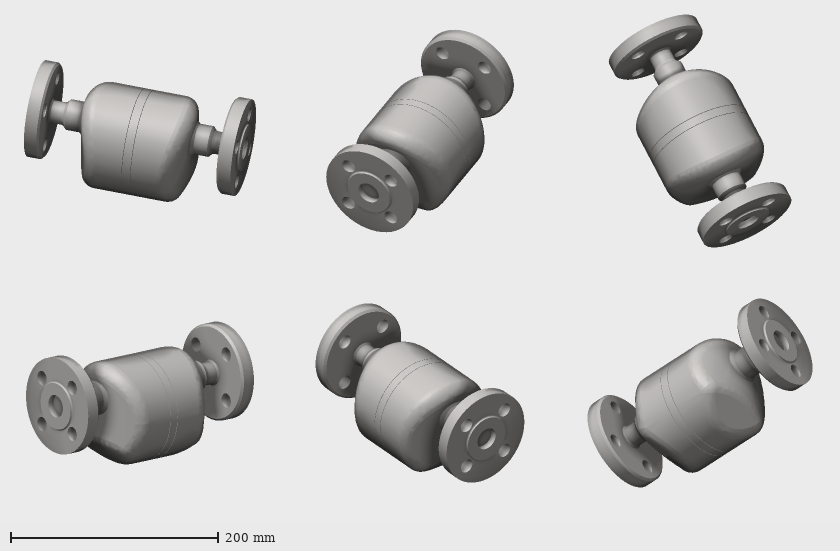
import cadquery as cq
import math

half_length = 105.0

body_diameter = 104.0
body_drop = 19.0
body_half_length = 55.6
end_curve_radius = 88.2
body_fillet = 14.0
bevel_bottom_half = 28.8

groove_diameter = 100.0
groove_offset = 4.5
groove_width = 0.5

flange_diameter = 95.0
flange_back = 88.6
flange_chamfer = 2.0
raised_height = 1.9
raised_radius = 22.9
raised_fillet = 1.7
bore_diameter = 22.3
bore_depth = 6.5
bolt_diameter = 14.0
bolt_circle_radius = 32.5
bolt_count = 4
bolt_start_angle = 45

pipe_radius = 22.0 / 2
neck_radius = 30.0 / 2
flange_weld = 1.7
reducer_weld_end = 76.2
reducer_small_end = 74.1
reducer_small_radius = 11.8
reducer_large_end = 71.0
body_weld_end = 57.3
body_weld_radius = 18.3
stub_inner_end = 42.0

clearance = 2.0

body_radius = body_diameter / 2
body_bottom = -body_drop - body_radius
flange_radius = flange_diameter / 2
flange_face = half_length - raised_height


def x_cylinder(diameter, start, length, z=0.0):
    plane = cq.Workplane("YZ", origin=(start, 0, z))
    return plane.circle(diameter / 2).extrude(length)


def make_body():
    """Horizontal cylinder with bulged ends and bevelled bottom corners."""
    body = x_cylinder(body_diameter, -body_half_length, 2 * body_half_length, -body_drop)

    side = body_radius + clearance
    bulge = end_curve_radius - math.sqrt(end_curve_radius**2 - side**2)
    corner = body_half_length - bulge
    plan = (
        cq.Workplane("XY", origin=(0, 0, body_bottom - clearance))
        .moveTo(-corner, -side)
        .lineTo(corner, -side)
        .threePointArc((body_half_length, 0), (corner, side))
        .lineTo(-corner, side)
        .threePointArc((-body_half_length, 0), (-corner, -side))
        .close()
        .extrude(body_diameter + 2 * clearance)
    )

    reach = body_half_length + clearance
    bevel_top = body_bottom + reach - bevel_bottom_half
    top = body_radius - body_drop + clearance
    bevelled = (
        cq.Workplane("XZ")
        .polyline([
            (-reach, top),
            (-reach, bevel_top),
            (-bevel_bottom_half + clearance, body_bottom - clearance),
            (bevel_bottom_half - clearance, body_bottom - clearance),
            (reach, bevel_top),
            (reach, top),
        ])
        .close()
        .extrude(side, both=True)
    )
    return body.intersect(plan).intersect(bevelled).edges().fillet(body_fillet)


def make_groove(center):
    start = center - groove_width / 2
    outer = x_cylinder(body_diameter + 2 * clearance, start, groove_width, -body_drop)
    inner = x_cylinder(groove_diameter, start, groove_width, -body_drop)
    return outer.cut(inner)


def make_connection():
    """Turned pipe stub with its flange, on the +X side."""
    body_weld_start = body_weld_end - (body_weld_radius - neck_radius)
    turned = (
        cq.Workplane("XY")
        .polyline([
            (stub_inner_end, 0),
            (stub_inner_end, neck_radius),
            (body_weld_start, neck_radius),
            (body_weld_start, body_weld_radius),
            (body_weld_end, neck_radius),
            (reducer_large_end, neck_radius),
            (reducer_small_end, reducer_small_radius),
            (reducer_weld_end, pipe_radius),
            (flange_back - flange_weld, pipe_radius),
            (flange_back, pipe_radius + flange_weld),
            (flange_back, flange_radius - flange_chamfer),
            (flange_back + flange_chamfer, flange_radius),
            (flange_face, flange_radius),
            (flange_face, raised_radius + raised_fillet),
        ])
        .radiusArc((flange_face + raised_fillet, raised_radius), -raised_fillet)
        .lineTo(half_length, raised_radius)
        .lineTo(half_length, 0)
        .close()
        .revolve(360, (0, 0, 0), (1, 0, 0))
    )
    bore = x_cylinder(bore_diameter, half_length - bore_depth, bore_depth)
    bolt_holes = (
        cq.Workplane("YZ", origin=(flange_back, 0, 0))
        .polarArray(bolt_circle_radius, bolt_start_angle, 360, bolt_count)
        .circle(bolt_diameter / 2)
        .extrude(half_length - flange_back)
    )
    return turned.cut(bore).cut(bolt_holes)


connection = make_connection()
result = make_body()
for groove_center in (-groove_offset, groove_offset):
    result = result.cut(make_groove(groove_center))
result = result.union(connection).union(connection.mirror("YZ"))